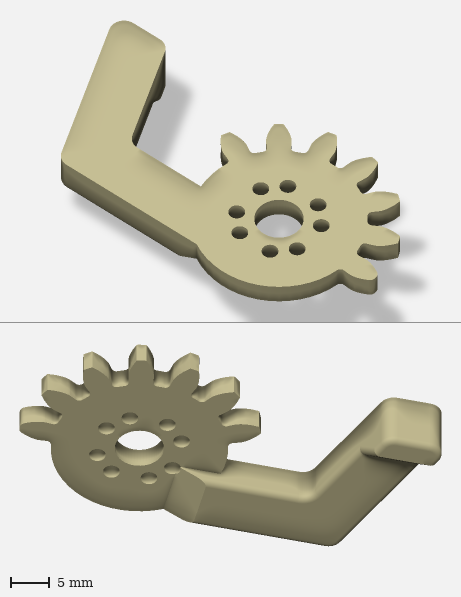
import cadquery as cq
import math

tooth_positions = 14
tooth_count = 7
tip_radius = 16.0
root_radius = 11.55
pitch_radius = 14.0
pressure_angle = math.radians(20)
root_half_width = 1.55
root_fillet = 0.65
root_tolerance = 0.15
end_tooth_fillet = 0.8
gear_thickness = 2.95

bore_diameter = 6.4
hole_diameter = 2.2
hole_near_offset = 2.5
hole_far_offset = 2 * hole_near_offset

arm_width = 8.0
arm_bottom_y = -10.05
arm_inner_y = arm_bottom_y + arm_width
arm_top_y = 14.15
arm_corner_x = -28.6
lean_angle = math.radians(21.9)
lean_slope = math.tan(lean_angle)
lean_width_x = arm_width / math.cos(lean_angle)
corner_radius = 2.0
arm_thickness = 5.0
edge_fillet = 0.8

ramp_end_x = -math.sqrt(root_radius**2 - arm_bottom_y**2)
ramp_length = 3.9

foot_depth = 8.0
foot_length = 3.3
foot_drop = foot_depth - arm_thickness


def make_tooth(tip_fillet=0.0):
    """Involute tooth pointing along +X, rooted inside the hub."""
    base_radius = pitch_radius * math.cos(pressure_angle)
    pitch_half_angle = math.pi / (2 * tooth_positions)
    base_half_angle = pitch_half_angle + math.tan(pressure_angle) - pressure_angle
    tip_roll = math.sqrt((tip_radius / base_radius) ** 2 - 1)

    def flank_point(roll):
        radius = base_radius * math.sqrt(1 + roll**2)
        angle = base_half_angle - (roll - math.atan(roll))
        return radius * math.cos(angle), radius * math.sin(angle)

    flank_steps = 6
    upper = [flank_point(tip_roll * i / flank_steps) for i in range(flank_steps + 1)]
    lower = [(x, -y) for x, y in reversed(upper)]
    inner_x = root_radius - 2 * root_fillet
    tooth = (
        cq.Workplane("XY")
        .moveTo(inner_x, -root_half_width)
        .lineTo(inner_x, root_half_width)
        .lineTo(root_radius, root_half_width)
        .lineTo(*upper[0])
        .spline(upper[1:], includeCurrent=True)
        .threePointArc((tip_radius, 0), lower[0])
        .spline(lower[1:], includeCurrent=True)
        .lineTo(root_radius, -root_half_width)
        .close()
        .extrude(-gear_thickness)
    )
    if tip_fillet:
        tip_edges = [edge for edge in tooth.edges("|Z").vals() if edge.Center().x > pitch_radius]
        tooth = tooth.newObject(tip_edges).fillet(tip_fillet)
    return tooth


def make_gear():
    gear = cq.Workplane("XY").circle(root_radius).extrude(-gear_thickness)
    for index in range(tooth_count):
        tooth = make_tooth(end_tooth_fillet if index == 0 else 0.0)
        gear = gear.union(tooth.rotate((0, 0, 0), (0, 0, 1), index * 360 / tooth_positions))
    roots = [
        edge
        for edge in gear.edges("|Z").vals()
        if abs(math.hypot(edge.Center().x, edge.Center().y) - root_radius) < root_tolerance
        and abs(edge.Center().y) > root_tolerance
    ]
    return gear.newObject(roots).fillet(root_fillet)


def round_underside_rim(arm):
    """Round the rim of the underside, leaving the joint end and the creases sharp."""
    faces = arm.faces().vals()
    under_edges = [edge for face in faces if face.normalAt().z < -0.1 for edge in face.Edges()]
    sides = arm.faces("#Z").faces("not >X").vals()
    side_edges = [edge for face in sides for edge in face.Edges()]
    rim = [edge for edge in under_edges if any(edge.isSame(side) for side in side_edges)]
    return arm.newObject(rim).fillet(edge_fillet)


def make_arm():
    inner_corner_x = arm_corner_x + lean_width_x - lean_slope * arm_width
    outer_top_x = arm_corner_x - lean_slope * (arm_top_y - arm_bottom_y)
    outline = [
        (0, arm_bottom_y),
        (arm_corner_x, arm_bottom_y),
        (outer_top_x, arm_top_y),
        (outer_top_x + lean_width_x, arm_top_y),
        (inner_corner_x, arm_inner_y),
        (0, arm_inner_y),
    ]
    arm = cq.Workplane("XY").polyline(outline).close().extrude(-foot_depth)
    arm = arm.edges("(|Z) and (not >X)").fillet(corner_radius)

    foot_y = arm_top_y - foot_length
    below_arm = (
        cq.Workplane("YZ")
        .moveTo(foot_y, -foot_depth)
        .lineTo(foot_y - foot_drop, -arm_thickness)
        .lineTo(arm_bottom_y, -arm_thickness)
        .lineTo(arm_bottom_y, -foot_depth)
        .close()
        .extrude(2 * outer_top_x, both=True)
    )
    arm = arm.cut(below_arm)
    arm = round_underside_rim(arm)

    ramp_start_x = ramp_end_x - ramp_length
    ramp = (
        cq.Workplane("XZ")
        .moveTo(ramp_start_x, -arm_thickness)
        .lineTo(ramp_end_x, -gear_thickness)
        .lineTo(0, -gear_thickness)
        .lineTo(0, -arm_thickness)
        .close()
        .extrude(root_radius, both=True)
    )
    return arm.cut(ramp)


def make_holes():
    offsets = (-hole_far_offset, -hole_near_offset, hole_near_offset, hole_far_offset)
    centres = [(x, y) for x in offsets for y in offsets if abs(x) != abs(y)]
    bore = cq.Workplane("XY").circle(bore_diameter / 2).extrude(-foot_depth)
    small = cq.Workplane("XY").pushPoints(centres).circle(hole_diameter / 2).extrude(-foot_depth)
    return bore.union(small)


result = make_gear().union(make_arm()).cut(make_holes())